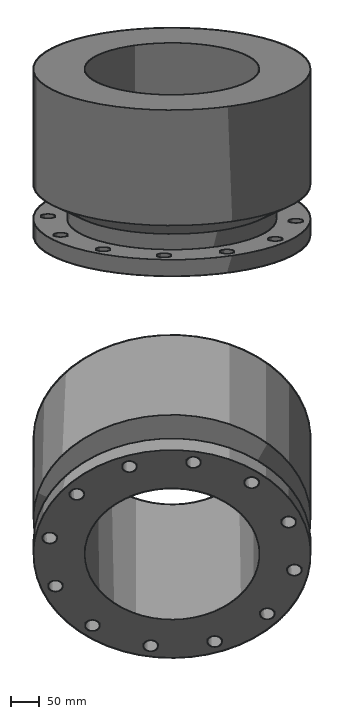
import cadquery as cq

outer_diameter = 482.5
total_height = 303.0
bore_diameter = 304.0

flange_thickness = 30.5
neck_height = 28.5
cone_height = 34.0
neck_diameter = 364.7

bolt_hole_count = 12
bolt_hole_diameter = 25.5
bolt_circle_diameter = 432.0

outer_radius = outer_diameter / 2
neck_radius = neck_diameter / 2
bore_radius = bore_diameter / 2
bolt_circle_radius = bolt_circle_diameter / 2

neck_bottom = flange_thickness
cone_bottom = neck_bottom + neck_height
body_bottom = cone_bottom + cone_height


def make_ring_body():
    """Flange, neck, cone and thick-walled body, revolved about Z around the bore."""
    half_section = [
        (bore_radius, 0),
        (outer_radius, 0),
        (outer_radius, neck_bottom),
        (neck_radius, neck_bottom),
        (neck_radius, cone_bottom),
        (outer_radius, body_bottom),
        (outer_radius, total_height),
        (bore_radius, total_height),
    ]
    return cq.Workplane("XZ").polyline(half_section).close().revolve(360, (0, 0), (0, 1))


def make_bolt_holes():
    """Cylinders through the flange, evenly spaced from the +X axis."""
    return (
        cq.Workplane("XY")
        .polarArray(bolt_circle_radius, 0, 360, bolt_hole_count)
        .circle(bolt_hole_diameter / 2)
        .extrude(flange_thickness)
    )


result = make_ring_body().cut(make_bolt_holes())